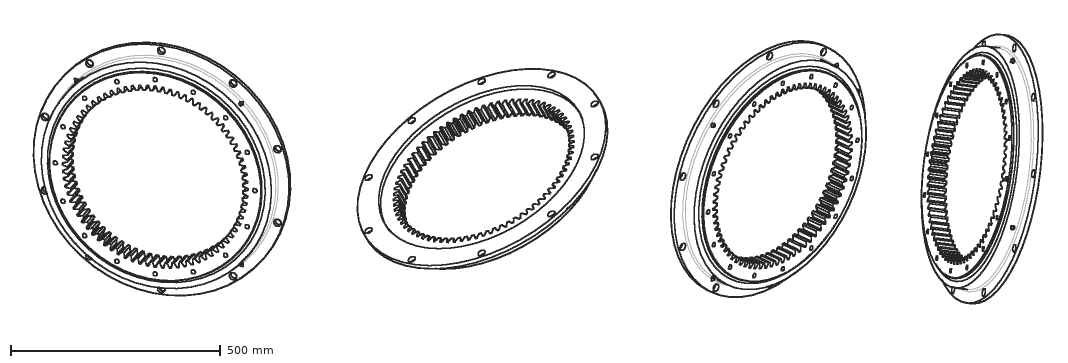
import cadquery as cq
import math


FLANGE_RADIUS = 324.0
FLANGE_THICKNESS = 11.5
BODY_RADIUS = 291.5
BODY_FRONT = 46.5
NECK_FILLET = 4.5
BOLT_COUNT = 10
BOLT_CIRCLE_RADIUS = 310.0
BOLT_HOLE_DIAMETER = 18.0

RING_RADIUS = 268.0
RING_FRONT = 56.0
RING_BACK = 11.5
TAPPED_COUNT = 16
TAPPED_CIRCLE_RADIUS = 253.0
TAPPED_DIAMETER = 10.5
TAPPED_DEPTH = 23.0
DRILL_POINT_ANGLE = math.radians(118)

TOOTH_COUNT = 76
PITCH_RADIUS = 228.0
ROOT_RADIUS = 235.0
TIP_RADIUS = 223.0
PRESSURE_ANGLE = math.radians(20)

SEAL_BASE_RADIUS = 276.0
SEAL_TIP_RADIUS = 269.5
SEAL_FRONT = 51.0

NIPPLE_COUNT = 4
NIPPLE_START_ANGLE = 45
NIPPLE_POSITION = 28.0
NIPPLE_SHANK_DIAMETER = 8.0
NIPPLE_SHANK_DEPTH = 10.0
NIPPLE_NECK_HEIGHT = 4.0
NIPPLE_HEAD_DIAMETER = 10.5
NIPPLE_TIP_DIAMETER = 2.0
NIPPLE_HEIGHT = 10.5


def front_plane(depth):
    """Plane facing -Y at the given distance in front of the flange back."""
    return cq.Workplane("XZ", origin=(0, -depth, 0))


def revolved(profile):
    """Turn a closed YZ profile of (Y, radius) points about the Y axis."""
    return profile.close().revolve(360, (0, 0, 0), (1, 0, 0))


def polar(radius, angle):
    return (radius * math.cos(angle), radius * math.sin(angle))


def nipple_profile():
    """Half outline of a nipple as (radius, height above the body surface)."""
    shank = NIPPLE_SHANK_DIAMETER / 2
    head = NIPPLE_HEAD_DIAMETER / 2
    return [
        (0, -NIPPLE_SHANK_DEPTH),
        (shank, -NIPPLE_SHANK_DEPTH),
        (shank, NIPPLE_NECK_HEIGHT),
        (head, NIPPLE_NECK_HEIGHT),
        (NIPPLE_TIP_DIAMETER / 2, NIPPLE_HEIGHT),
        (0, NIPPLE_HEIGHT),
    ]


def make_nipple(angle):
    """One grease nipple standing radially on the body at the given angle in degrees."""
    nipple = cq.Workplane("XY").polyline(nipple_profile()).close().revolve(360, (0, 0, 0), (0, 1, 0))
    nipple = nipple.rotate((0, 0, 0), (1, 0, 0), 90)
    nipple = nipple.translate((0, -NIPPLE_POSITION, BODY_RADIUS))
    return nipple.rotate((0, 0, 0), (0, 1, 0), angle)


def make_outer_ring(nipples):
    """Flanged ring with bolt holes and a matching socket for each nipple."""
    profile = (
        cq.Workplane("YZ")
        .moveTo(0, RING_RADIUS)
        .lineTo(0, FLANGE_RADIUS)
        .lineTo(-FLANGE_THICKNESS, FLANGE_RADIUS)
        .lineTo(-FLANGE_THICKNESS, BODY_RADIUS + NECK_FILLET)
        .radiusArc((-FLANGE_THICKNESS - NECK_FILLET, BODY_RADIUS), NECK_FILLET)
        .lineTo(-BODY_FRONT, BODY_RADIUS)
        .lineTo(-BODY_FRONT, RING_RADIUS)
    )
    ring = revolved(profile)
    bolt_holes = (
        front_plane(0)
        .polarArray(BOLT_CIRCLE_RADIUS, 90, 360, BOLT_COUNT)
        .circle(BOLT_HOLE_DIAMETER / 2)
        .extrude(FLANGE_THICKNESS)
    )
    ring = ring.cut(bolt_holes)
    for nipple in nipples:
        ring = ring.cut(nipple)
    return ring


def involute(radius):
    """Involute function of the flank's pressure angle at a radius."""
    base_radius = PITCH_RADIUS * math.cos(PRESSURE_ANGLE)
    angle = math.acos(base_radius / radius)
    return math.tan(angle) - angle


def space_half_angle(radius):
    """Half the angle of a tooth space; space and tooth are equal at the pitch radius."""
    return math.pi / (2 * TOOTH_COUNT) + involute(PITCH_RADIUS) - involute(radius)


def make_gear_bore():
    """The open inside of the ring: a toothed prism as deep as the ring."""
    pitch_angle = 2 * math.pi / TOOTH_COUNT
    bore = front_plane(RING_BACK).moveTo(*polar(TIP_RADIUS, -space_half_angle(TIP_RADIUS)))
    root = space_half_angle(ROOT_RADIUS)
    pitch = space_half_angle(PITCH_RADIUS)
    tip = space_half_angle(TIP_RADIUS)
    for tooth in range(TOOTH_COUNT):
        middle = tooth * pitch_angle
        bore = (
            bore.threePointArc(polar(PITCH_RADIUS, middle - pitch), polar(ROOT_RADIUS, middle - root))
            .threePointArc(polar(ROOT_RADIUS, middle), polar(ROOT_RADIUS, middle + root))
            .threePointArc(polar(PITCH_RADIUS, middle + pitch), polar(TIP_RADIUS, middle + tip))
            .threePointArc(
                polar(TIP_RADIUS, middle + pitch_angle / 2),
                polar(TIP_RADIUS, middle + pitch_angle - tip),
            )
        )
    return bore.close().extrude(RING_FRONT - RING_BACK)


def make_tapped_hole(angle):
    """Blind hole with a conical drill point, at the given angle in degrees from +Z."""
    radius = TAPPED_DIAMETER / 2
    point_depth = radius / math.tan(DRILL_POINT_ANGLE / 2)
    hole = (
        cq.Workplane("YZ")
        .polyline(
            [
                (-RING_FRONT, 0),
                (-RING_FRONT, radius),
                (-RING_FRONT + TAPPED_DEPTH, radius),
                (-RING_FRONT + TAPPED_DEPTH + point_depth, 0),
            ]
        )
    )
    return revolved(hole).translate((0, 0, TAPPED_CIRCLE_RADIUS)).rotate((0, 0, 0), (0, 1, 0), angle)


def make_inner_ring():
    """Ring with internal teeth and blind tapped holes in its front face."""
    blank = cq.Workplane("YZ").polyline(
        [
            (-RING_BACK, TIP_RADIUS),
            (-RING_BACK, RING_RADIUS),
            (-RING_FRONT, RING_RADIUS),
            (-RING_FRONT, TIP_RADIUS),
        ]
    )
    ring = revolved(blank).cut(make_gear_bore())
    for i in range(TAPPED_COUNT):
        ring = ring.cut(make_tapped_hole(i * 360 / TAPPED_COUNT))
    return ring


def make_seal():
    """Conical seal ring between the outer ring's face and the inner ring's rim."""
    profile = cq.Workplane("YZ").polyline(
        [
            (-BODY_FRONT, RING_RADIUS),
            (-BODY_FRONT, SEAL_BASE_RADIUS),
            (-SEAL_FRONT, SEAL_TIP_RADIUS),
            (-SEAL_FRONT, RING_RADIUS),
        ]
    )
    return revolved(profile)


nipples = [make_nipple(NIPPLE_START_ANGLE + i * 360 / NIPPLE_COUNT) for i in range(NIPPLE_COUNT)]
outer_ring = make_outer_ring(nipples)
inner_ring = make_inner_ring()
seal = make_seal()

result = cq.Compound.makeCompound(
    [outer_ring.val(), inner_ring.val(), seal.val(), *[nipple.val() for nipple in nipples]]
)